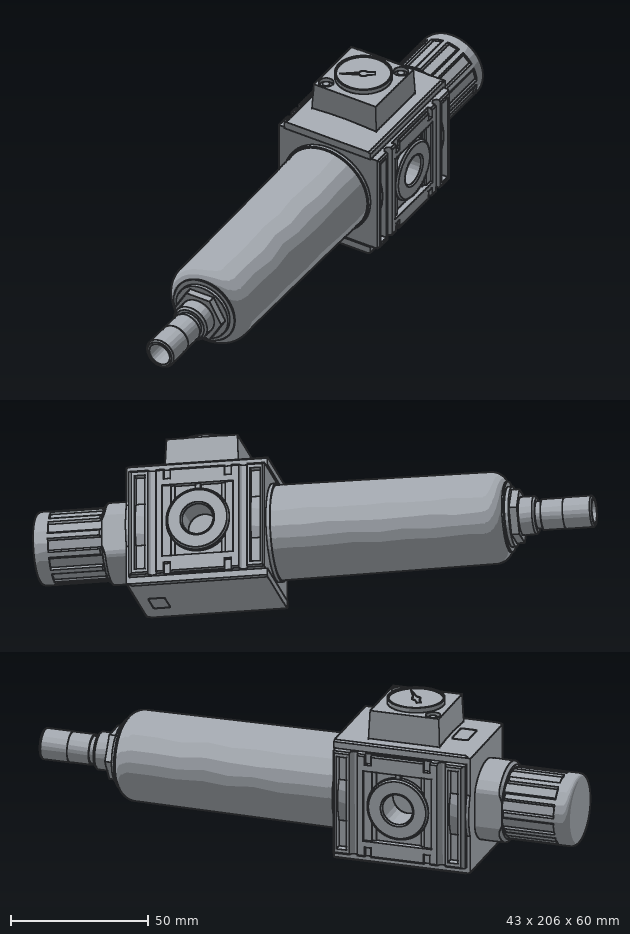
import cadquery as cq
import math


front_face = -24.7
cover_front = -25.3
housing_rear = 27.0
core_half_width = 18.3
cover_edge_width = 17.5
cover_side_height = 22.5
cover_edge_height = 23.0
pad_height = 24.0
pad_rise = 0.1
crown_height = pad_height - pad_rise
slope_start_front = -21.2
slope_start_rear = 21.6
rear_bevel_start = 25.0
bevel_height = 22.2
barrel_diameter = 40.0

overall_width = 43.0
plate_half_width = overall_width / 2
plate_half_height = 20.0
plate_rear = 25.8
plate_corner_width = 20.2
plate_corner_start = 24.5
plate_edge_chamfer = 0.6
groove_offset = 16.9
groove_width = 3.0
groove_depth = 2.3
slot_offset = 21.5
slot_width = 4.0
slot_height = 36.0
notch_offset = 11.3
notch_width = 2.5
notch_length = 4.0
notch_depth = 1.9
ledge_skin = 0.8

recess_length = 26.4
recess_height = 27.5
recess_depth = 1.0
channel_length = 20.2
channel_depth = 1.9
channel_floor_length = 17.3
channel_floor_depth = 2.5
recess_rib_width = 1.9
boss_diameter = 23.5
boss_rim_diameter = 22.0
port_diameter = 11.5
port_mouth_diameter = 12.8
port_depth = 12.4

pad_offset = 18.5
pad_width = 10.7
pad_length = 6.2
pad_radius = 0.8
pad_root = 22.7

neck_diameter = 30.0
neck_rear = 37.3
neck_chamfer = 1.2
neck_flat_offset = 13.0
neck_flat_fillet = 5.4

knob_diameter = 27.0
knob_rear = 63.0
overall_length = 206.0
knob_rear_fillet = 2.0
knob_front_chamfer = 0.8
flute_count = 12
flute_mouth_angle = 24.0
flute_floor_angle = 16.0
flute_depth = 0.8
flute_end = 57.3

gauge_foot_size = 27.5
gauge_top_size = 26.4
gauge_bottom = 22.7
gauge_block_top = 34.2
dial_top = 36.0
dial_diameter = 21.0
dial_window_diameter = 20.0
dial_window_depth = 0.5
screw_offset = 9.9
screw_recess_diameter = 5.4
screw_recess_depth = 1.6
screw_head_diameter = 2.7
screw_head_height = 1.0
needle_hub_diameter = 3.3
needle_length = 8.7
needle_tail = 4.3
needle_width = 1.6
needle_height = 0.2
needle_angle = 32.0

flange_diameter = 36.0
flange_front = -26.2
bowl_top = -28.0
bowl_top_diameter = 34.8
bowl_base = -105.0
bowl_base_diameter = 33.5
bowl_end = -111.2
bowl_end_diameter = 25.8
bowl_arc_bulge = 1.0
bowl_lip = 0.6
ring_diameter = 22.0
ring_end = -113.3
hex_corner_diameter = 20.0
hex_end = -116.2
collar_diameter = 14.0
collar_end = -122.0
collar_chamfer = 0.8
stem_diameter = 10.0
stem_end = -124.0
barb_diameter = 11.3
barb_step = -132.3
spout_diameter = 11.5
spout_chamfer = 0.6
spout_bore_diameter = 8.7
spout_end = knob_rear - overall_length


def cylinder_along_y(diameter, y_start, y_end):
    disc = cq.Workplane("XZ", origin=(0, y_start, 0)).circle(diameter / 2)
    return disc.extrude(y_start - y_end)


def block(x_range, y_range, z_range):
    size = [high - low for low, high in (x_range, y_range, z_range)]
    return cq.Workplane().box(*size, centered=False).translate((x_range[0], y_range[0], z_range[0]))


def both_sides(shape):
    return shape.union(shape.mirror("YZ"))


def make_core():
    """Crowned block whose two covers stand slightly proud of the front face."""
    end_outline = (
        cq.Workplane("XZ", origin=(0, cover_front, 0))
        .moveTo(-core_half_width, -cover_side_height)
        .lineTo(-cover_edge_width, -cover_edge_height)
        .threePointArc((0, -crown_height), (cover_edge_width, -cover_edge_height))
        .lineTo(core_half_width, -cover_side_height)
        .lineTo(core_half_width, cover_side_height)
        .lineTo(cover_edge_width, cover_edge_height)
        .threePointArc((0, crown_height), (-cover_edge_width, cover_edge_height))
        .lineTo(-core_half_width, cover_side_height)
        .close()
        .extrude(cover_front - housing_rear)
    )
    upper_points = [
        (cover_front, cover_edge_height),
        (slope_start_front, crown_height),
        (slope_start_rear, crown_height),
        (rear_bevel_start, cover_edge_height),
        (housing_rear, bevel_height),
    ]
    lower_points = [(y, -z) for y, z in reversed(upper_points)]
    side_outline = cq.Workplane("YZ").polyline(upper_points + lower_points).close()
    core = end_outline.intersect(side_outline.extrude(core_half_width, both=True))
    front_step = block(
        (-core_half_width, core_half_width),
        (cover_front, front_face),
        (-plate_half_height, plate_half_height),
    )
    return core.cut(front_step)


def make_plates():
    """Side plates that carry the port faces, with chamfered front and bevelled rear corners."""
    half_outline = [
        (plate_half_width - plate_edge_chamfer, front_face),
        (plate_half_width, front_face + plate_edge_chamfer),
        (plate_half_width, plate_corner_start),
        (plate_corner_width, plate_rear),
    ]
    mirrored = [(-x, y) for x, y in reversed(half_outline)]
    plates = cq.Workplane().polyline(half_outline + mirrored).close()
    plates = plates.extrude(plate_half_height, both=True)
    return plates.faces("<X or >X").edges("|Y").chamfer(plate_edge_chamfer)


def plate_cuts():
    """Grooves, mounting slots, notches and the ledges joining the notches, for the -X plate."""
    face = -plate_half_width
    groove_radius = groove_width / 2
    groove_axis = face + groove_depth - groove_radius
    cuts = cq.Workplane()
    for side in (-1, 1):
        y = side * groove_offset
        y_range = (y - groove_radius, y + groove_radius)
        tall = (-plate_half_height, plate_half_height)
        cuts = cuts.add(block((face, groove_axis), y_range, tall))
        groove = cq.Workplane().center(groove_axis, y).circle(groove_radius)
        cuts = cuts.add(groove.extrude(plate_half_height, both=True))

        y = side * slot_offset
        y_range = (y - slot_width / 2, y + slot_width / 2)
        slot = block((face, -core_half_width), y_range, (-slot_height / 2, slot_height / 2))
        cuts = cuts.add(slot.cut(cylinder_along_y(barrel_diameter, front_face, housing_rear)))

        y = side * notch_offset
        y_range = (y - notch_width / 2, y + notch_width / 2)
        notch_end = plate_half_height - notch_length
        notch = block((face, face + notch_depth), y_range, (notch_end, plate_half_height))
        cuts = cuts.add(notch).add(notch.mirror("XY"))

    ledge_reach = (face + ledge_skin, face + notch_depth)
    ledge = block(ledge_reach, (-notch_offset, notch_offset), (notch_end, plate_half_height))
    cuts = cuts.add(ledge).add(ledge.mirror("XY"))
    return cuts.combine()


def port_cuts():
    """Stepped recess around the port boss, and the chamfered blind port bore, at the -X plate."""
    face = cq.Workplane("YZ", origin=(-plate_half_width, 0, 0))
    recess = face.rect(recess_length, recess_height).extrude(recess_depth)
    channel = face.rect(channel_length, recess_height).extrude(channel_depth)
    channel_floor = face.rect(channel_floor_length, recess_height).extrude(channel_floor_depth)
    boss = face.circle(boss_diameter / 2).extrude(channel_floor_depth)
    boss = boss.faces("<X").chamfer((boss_diameter - boss_rim_diameter) / 2)
    rib = block(
        (recess_depth - plate_half_width, channel_floor_depth - plate_half_width),
        (-recess_rib_width / 2, recess_rib_width / 2),
        (0, recess_height / 2),
    )
    bore = face.circle(port_diameter / 2).extrude(port_depth)
    mouth_depth = (port_mouth_diameter - port_diameter) / 2
    mouth = face.circle(port_mouth_diameter / 2).workplane(offset=mouth_depth)
    mouth = mouth.circle(port_diameter / 2).loft(combine=True)
    recess = recess.union(channel).union(channel_floor)
    return recess.cut(boss).cut(rib).union(bore).union(mouth)


def make_pad():
    pad = cq.Workplane(origin=(0, pad_offset, pad_root)).rect(pad_width, pad_length)
    return pad.extrude(pad_height - pad_root).edges("|Z").fillet(pad_radius)


def make_neck():
    neck = cylinder_along_y(neck_diameter, housing_rear, neck_rear)
    flats = block(
        (-neck_flat_offset, neck_flat_offset),
        (housing_rear, neck_rear),
        (-neck_diameter, neck_diameter),
    )
    neck = neck.intersect(flats).edges("|Y").fillet(neck_flat_fillet)
    cone = cylinder_along_y(neck_diameter, housing_rear, neck_rear).faces(">Y").chamfer(neck_chamfer)
    return neck.intersect(cone)


def make_gauge_block():
    foot = cq.Workplane(origin=(0, 0, gauge_bottom)).rect(gauge_foot_size, gauge_foot_size)
    top = foot.workplane(offset=gauge_block_top - gauge_bottom).rect(gauge_top_size, gauge_top_size)
    return top.loft(combine=True)


def make_housing():
    pad = make_pad()
    housing = make_core().union(make_plates())
    housing = housing.union(cylinder_along_y(barrel_diameter, front_face, housing_rear))
    housing = housing.union(pad).union(pad.mirror("XY"))
    housing = housing.cut(both_sides(plate_cuts())).cut(both_sides(port_cuts()))
    return housing.union(make_neck()).cut(make_gauge_block())


def make_knob():
    """Cap with wide slant-sided flutes; the ribs between them keep the full diameter."""
    knob = cylinder_along_y(knob_diameter, neck_rear, knob_rear)
    knob = knob.faces(">Y").edges().fillet(knob_rear_fillet)
    knob = knob.faces("<Y").edges().chamfer(knob_front_chamfer)
    pitch = 360 / flute_count
    mouth_radius = knob_diameter / 2
    floor_radius = mouth_radius - flute_depth
    mouth_half = mouth_radius * math.tan(math.radians(flute_mouth_angle / 2))
    floor_half = floor_radius * math.tan(math.radians(flute_floor_angle / 2))
    outline = [
        (-floor_half, floor_radius),
        (floor_half, floor_radius),
        (mouth_half, mouth_radius),
        (-mouth_half, mouth_radius),
    ]
    flute = cq.Workplane("XZ", origin=(0, neck_rear, 0)).polyline(outline).close()
    flute = flute.extrude(neck_rear - flute_end)
    for index in range(flute_count):
        angle = (index + 0.5) * pitch
        knob = knob.cut(flute.rotate((0, 0, 0), (0, 1, 0), angle))
    return knob


def make_needle():
    hub_radius = needle_hub_diameter / 2
    floor = cq.Workplane(origin=(0, 0, dial_top - dial_window_depth))
    hub = floor.circle(hub_radius).extrude(needle_height)
    pointer = floor.polyline([(-needle_length, 0), (0, -needle_width / 2), (0, needle_width / 2)]).close()
    pointer = pointer.extrude(needle_height)
    tail = floor.center(needle_tail / 2, 0).rect(needle_tail, needle_width).extrude(needle_height)
    needle = hub.union(pointer).union(tail)
    return needle.rotate((0, 0, 0), (0, 0, 1), needle_angle)


def make_gauge():
    dial = cq.Workplane(origin=(0, 0, gauge_block_top)).circle(dial_diameter / 2)
    dial = dial.extrude(dial_top - gauge_block_top)
    window = cq.Workplane(origin=(0, 0, dial_top)).circle(dial_window_diameter / 2)
    dial = dial.cut(window.extrude(-dial_window_depth)).union(make_needle())
    screw_places = [(-screw_offset, -screw_offset), (screw_offset, screw_offset)]
    floor = gauge_block_top - screw_recess_depth
    recesses = cq.Workplane(origin=(0, 0, floor)).pushPoints(screw_places)
    recesses = recesses.circle(screw_recess_diameter / 2).extrude(screw_recess_depth)
    heads = cq.Workplane(origin=(0, 0, floor)).pushPoints(screw_places)
    heads = heads.circle(screw_head_diameter / 2).extrude(screw_head_height)
    return make_gauge_block().cut(recesses.cut(heads)).union(dial)


def make_bowl():
    """Tapered bowl with its drain fitting and hose spout."""
    base_radius = bowl_base_diameter / 2
    end_radius = bowl_end_diameter / 2
    arc_middle = (
        (base_radius + end_radius) / 2 + bowl_arc_bulge,
        (bowl_base + bowl_end) / 2 - bowl_arc_bulge * (base_radius - end_radius) / (bowl_base - bowl_end),
    )
    profile = (
        cq.Workplane("XY")
        .moveTo(0, front_face)
        .lineTo(flange_diameter / 2, front_face)
        .lineTo(flange_diameter / 2, flange_front)
        .lineTo(bowl_top_diameter / 2, flange_front)
        .lineTo(bowl_top_diameter / 2, bowl_top)
        .lineTo(base_radius, bowl_base)
        .threePointArc(arc_middle, (end_radius, bowl_end))
        .lineTo(end_radius, bowl_end - bowl_lip)
        .lineTo(ring_diameter / 2, bowl_end - bowl_lip)
        .lineTo(ring_diameter / 2, ring_end)
        .lineTo(collar_diameter / 2, ring_end)
        .lineTo(collar_diameter / 2, collar_end + collar_chamfer)
        .lineTo(collar_diameter / 2 - collar_chamfer, collar_end)
        .lineTo(stem_diameter / 2, collar_end)
        .lineTo(stem_diameter / 2, stem_end)
        .lineTo(barb_diameter / 2, stem_end)
        .lineTo(barb_diameter / 2, barb_step)
        .lineTo(spout_diameter / 2, barb_step)
        .lineTo(spout_diameter / 2, spout_end + spout_chamfer)
        .lineTo(spout_diameter / 2 - spout_chamfer, spout_end)
        .lineTo(0, spout_end)
        .close()
    )
    bowl = profile.revolve(360, (0, 0, 0), (0, 1, 0))
    nut = cq.Workplane("XZ", origin=(0, ring_end, 0)).polygon(6, hex_corner_diameter)
    bore = cylinder_along_y(spout_bore_diameter, spout_end, stem_end)
    return bowl.union(nut.extrude(ring_end - hex_end)).cut(bore)


housing = make_housing()
knob = make_knob()
gauge = make_gauge()
bowl = make_bowl()

result = cq.Compound.makeCompound([housing.val(), knob.val(), gauge.val(), bowl.val()])